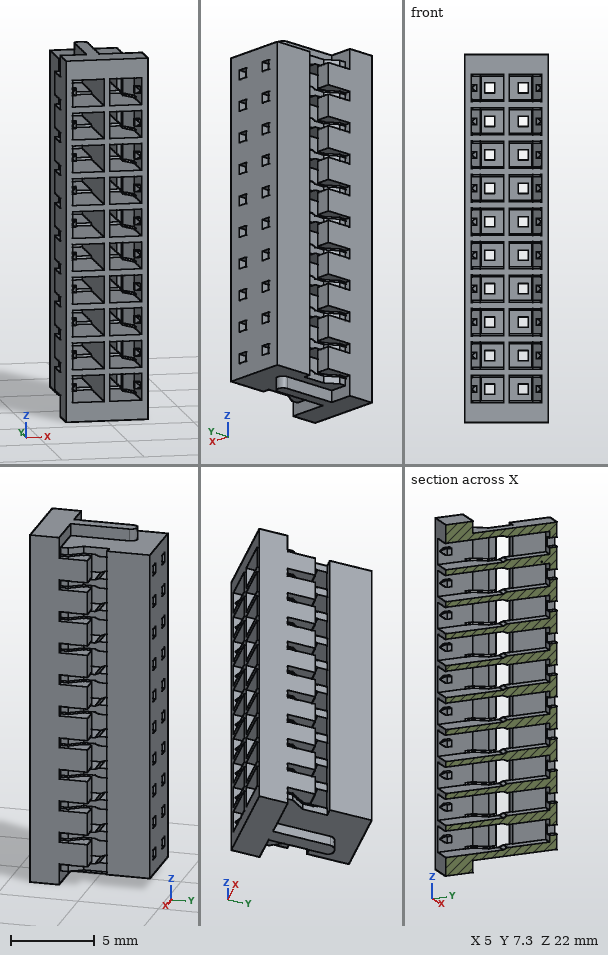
import cadquery as cq


width = 5.0
depth = 7.3
height = 22.0

rows = 10
pitch = height / (rows + 1)
column_x = pitch / 2
row_z = [(i - (rows - 1) / 2) * pitch for i in range(rows)]

base_depth = 1.8
body_height = 20.5
foot_half = 2.1
foot_end_y = 2.27
waist_half = 1.56
waist_start_y = 3.08
head_y = 4.65
head_width = 4.07

key_x = -0.5
key_width = 0.8
key_tip_y = 5.83

web = 0.37
deep_web = 0.6
middle_wall = 0.35
flare_start_y = 3.76
flare_end_y = 4.03
pocket_floor_y = 6.8
pocket_half = 1.52
pin_hole = 0.6

tongue_tip_y = 3.56
tongue_width = pitch - deep_web
barb_tip_y = 0.1
barb_shoulder_y = 0.37
barb_front_y = 0.46
barb_back_y = 0.75
barb_reach = 0.33
barb_half = 0.2


def block(x0, x1, y0, y1, z0, z1):
    """Box between two opposite corners."""
    return cq.Workplane("XY").box(x1 - x0, y1 - y0, z1 - z0, centered=False).translate((x0, y0, z0))


def slab(outline, z0, z1):
    """Extrude a closed X-Y outline between two heights."""
    return cq.Workplane("XY").workplane(offset=z0).polyline(outline).close().extrude(z1 - z0)


def make_body():
    """Flange with the stepped body behind it, before any cavity is cut."""
    base = block(-width / 2, width / 2, 0, base_depth, -height / 2, height / 2)
    half_outline = [
        (foot_half, 0),
        (foot_half, foot_end_y),
        (waist_half, waist_start_y),
        (waist_half, head_y),
        (head_width / 2, head_y),
        (head_width / 2, depth),
    ]
    mirrored = [(-x, y) for x, y in reversed(half_outline)]
    core = slab(half_outline + mirrored, -body_height / 2, body_height / 2)
    return base.union(core)


def make_key():
    """Round-ended key running the full height, so that it stands proud of both ends."""
    radius = key_width / 2
    straight_end_y = key_tip_y - radius
    return (
        cq.Workplane("XY")
        .workplane(offset=-height / 2)
        .moveTo(key_x - radius, 0)
        .lineTo(key_x - radius, straight_end_y)
        .threePointArc((key_x, key_tip_y), (key_x + radius, straight_end_y))
        .lineTo(key_x + radius, 0)
        .close()
        .extrude(height)
    )


def make_tongue():
    """Outer wall of the +X cavity at Z = 0, following the foot and waist on its inside."""
    outline = [
        (foot_half, 0),
        (width / 2, 0),
        (width / 2, tongue_tip_y),
        (waist_half, tongue_tip_y),
        (waist_half, waist_start_y),
        (foot_half, foot_end_y),
    ]
    return slab(outline, -tongue_width / 2, tongue_width / 2)


def make_barb():
    """Small pointed catch on the inside of the +X tongue at Z = 0."""
    inner_x = foot_half - barb_reach
    ramp_outline = [
        (foot_half, barb_tip_y),
        (inner_x, barb_front_y),
        (inner_x, barb_back_y),
        (foot_half, barb_back_y),
    ]
    ramp = slab(ramp_outline, -barb_half, barb_half)
    arrow = (
        cq.Workplane("YZ")
        .workplane(offset=inner_x)
        .polyline([
            (barb_tip_y, 0),
            (barb_shoulder_y, barb_half),
            (barb_back_y, barb_half),
            (barb_back_y, -barb_half),
            (barb_shoulder_y, -barb_half),
        ])
        .close()
        .extrude(barb_reach)
    )
    return ramp.intersect(arrow)


def make_cavity():
    """Wire entry, side window, contact pocket and pin hole of the +X cavity at Z = 0."""
    inner_x = middle_wall / 2
    entry_half = (pitch - web) / 2
    deep_half = (pitch - deep_web) / 2
    entry = (
        cq.Workplane("YZ")
        .workplane(offset=inner_x)
        .polyline([
            (0, entry_half),
            (flare_start_y, entry_half),
            (flare_end_y, deep_half),
            (head_y, deep_half),
            (head_y, -deep_half),
            (flare_end_y, -deep_half),
            (flare_start_y, -entry_half),
            (0, -entry_half),
        ])
        .close()
        .extrude(foot_half - inner_x)
    )
    pocket = block(inner_x, pocket_half, head_y, pocket_floor_y, -deep_half, deep_half)
    hole_half = pin_hole / 2
    hole = block(column_x - hole_half, column_x + hole_half, pocket_floor_y, depth, -hole_half, hole_half)
    return entry.union(pocket).union(hole)


def both_columns(shape):
    """The shape and its mirror image in the other column."""
    return shape.union(shape.mirror("YZ"))


result = make_body().union(make_key())
cavity_pair = both_columns(make_cavity())
tongue_pair = both_columns(make_tongue().union(make_barb()))
for z in row_z:
    result = result.cut(cavity_pair.translate((0, 0, z)))
for z in row_z:
    result = result.union(tongue_pair.translate((0, 0, z)))